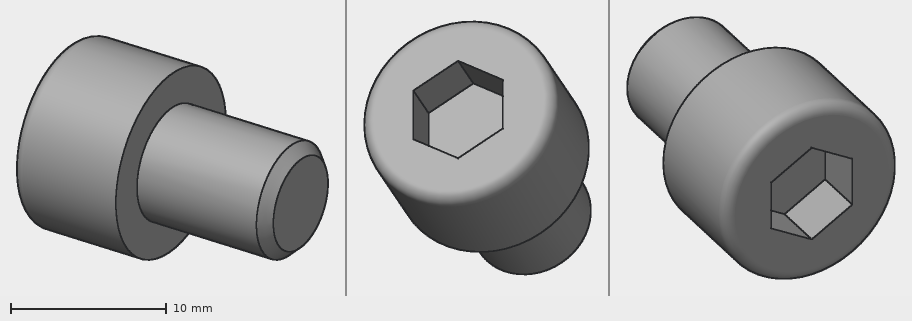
import cadquery as cq
import math

shank_diameter = 8.0
shank_length = 10.0
tip_chamfer_length = 0.8
tip_diameter = 6.466

head_diameter = 13.0
head_height = shank_diameter
head_edge_radius = shank_diameter / 10

hex_sides = 6
hex_across_flats = 6.0
hex_across_corners = hex_across_flats / math.cos(math.pi / hex_sides)
hex_depth = 3.58


def make_head():
    """Cylindrical head with a rounded outer edge."""
    head = cq.Workplane("YZ").circle(head_diameter / 2).extrude(-head_height)
    return head.faces("<X").edges().fillet(head_edge_radius)


def make_shank():
    """Plain shank with a conical lead-in at the tip."""
    tip_chamfer_depth = (shank_diameter - tip_diameter) / 2
    profile = (
        cq.Workplane("XY")
        .lineTo(0, shank_diameter / 2)
        .lineTo(shank_length - tip_chamfer_length, shank_diameter / 2)
        .lineTo(shank_length, shank_diameter / 2 - tip_chamfer_depth)
        .lineTo(shank_length, 0)
        .close()
    )
    return profile.revolve(360, (0, 0, 0), (1, 0, 0))


def make_hex_socket():
    """Hexagonal prism for the socket, with two corners on the Z axis."""
    return (
        cq.Workplane("YZ", origin=(-head_height, 0, 0))
        .transformed(rotate=(0, 0, 90))
        .polygon(hex_sides, hex_across_corners)
        .extrude(hex_depth)
    )


result = make_head().union(make_shank()).cut(make_hex_socket())